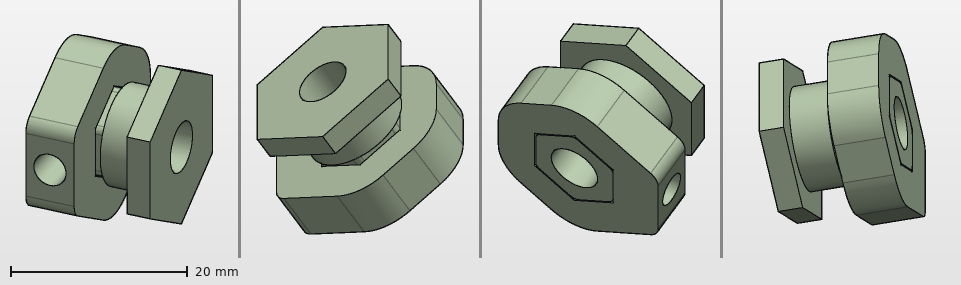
import cadquery as cq
import math

TAN_30 = math.tan(math.radians(30))

plate_length = 6.01
plate_apothem = 10.0
plate_extended_side = 11.0
plate_corner_radius = 6.01
plate_side_corner_radius = 2.0
socket_apothem = 5.23
set_screw_diameter = 4.0

shank_apothem = 5.08
shank_corner_radius = 1.0
neck_gap = 1.0
shank_length = plate_length + neck_gap
collar_diameter = 12.1
collar_length = 4.48
head_apothem = 8.6
total_length = 14.35
head_start = shank_length + collar_length
head_length = total_length - head_start
bore_diameter = 6.1
cross_hole_diameter = 3.2
cross_hole_x = 3.48


def hexagon_points(apothem, near_side):
    """Hexagon in (Y, Z) with 60 degree faces at the apothem and its -Y side at near_side."""
    tip = apothem * 2 / math.sqrt(3)
    far_z = tip - apothem * TAN_30
    near_z = tip - near_side * TAN_30
    return [
        (0, tip), (apothem, far_z), (apothem, -far_z),
        (0, -tip), (-near_side, -near_z), (-near_side, near_z),
    ]


def hexagon_prism(start_x, length, apothem, near_side):
    outline = cq.Workplane("YZ", origin=(start_x, 0, 0)).polyline(hexagon_points(apothem, near_side))
    return outline.close().extrude(length)


def cylinder_along_x(start_x, length, diameter):
    return cq.Workplane("YZ", origin=(start_x, 0, 0)).circle(diameter / 2).extrude(length)


def radial_hole(x, diameter, depth):
    """Cutter from the axis out towards -Y."""
    return cq.Workplane("XZ", origin=(x, 0, 0)).circle(diameter / 2).extrude(depth)


def make_clamp_plate():
    plate = hexagon_prism(0, plate_length, plate_apothem, plate_extended_side)

    plate = plate.edges("|X and (>Y or >Z or <Z)").fillet(plate_corner_radius)
    plate = plate.faces("<Y").edges("|X").fillet(plate_side_corner_radius)

    socket = hexagon_prism(0, plate_length, socket_apothem, shank_apothem)
    set_screw_hole = radial_hole(plate_length / 2, set_screw_diameter, plate_extended_side)
    return plate.cut(socket).cut(set_screw_hole)


def make_nipple():
    shank = hexagon_prism(0, shank_length, shank_apothem, shank_apothem)
    shank = shank.edges("|X").fillet(shank_corner_radius)
    collar = cylinder_along_x(shank_length, collar_length, collar_diameter)
    head = hexagon_prism(head_start, head_length, head_apothem, head_apothem)
    bore = cylinder_along_x(0, total_length, bore_diameter)
    cross_hole = radial_hole(cross_hole_x, cross_hole_diameter, shank_apothem)
    return shank.union(collar).union(head).cut(bore).cut(cross_hole)


clamp_plate = make_clamp_plate()
nipple = make_nipple()
result = cq.Compound.makeCompound([clamp_plate.val(), nipple.val()])